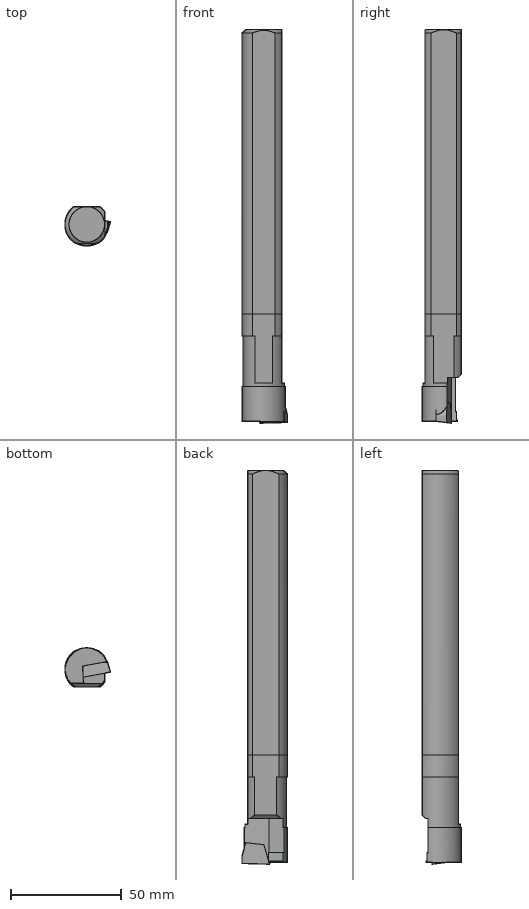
import cadquery as cq
import math


total_height = 177.9
seam_z = 49.3
neck_top_z = 39.5
flat_end_z = 18.1
collar_top_z = 16.5
head_bottom_z = 0.9

shank_radius = 10.0
neck_radius = 9.5
collar_radius = 9.8
front_flat = 8.5
side_flat = 8.2
back_flat = 8.0
top_chamfer_width = 2.0
top_chamfer_height = 1.6

relief_y = 5.3
shoulder_z = 20.6
shoulder_chamfer = 1.6
toe_height = 5.3
toe_step_z = 1.5
toe_y = 5.9
lip_y = 6.2

insert_thickness = 5.0
insert_clearance = 7.0
insert_tilt = -10.4
insert_tip_x = -1.8
insert_tip_y = 3.5
insert_reach = 12.8
edge_bottom_z = 0.4
edge_top_z = 3.5
insert_top_z = 9.8
insert_back_z = 8.9
insert_top_u = 11.0
insert_back_u = 2.7
stock = 4 * shank_radius


def cylinder(radius, bottom, top):
    return cq.Workplane("XY").workplane(offset=bottom).circle(radius).extrude(top - bottom)


def flats(bottom, top):
    """Prism that bounds a round section by its -Y, +X and +Y flats."""
    return (
        cq.Workplane("XY")
        .workplane(offset=bottom)
        .moveTo(-stock, -front_flat)
        .lineTo(side_flat, -front_flat)
        .lineTo(side_flat, back_flat)
        .lineTo(-stock, back_flat)
        .close()
        .extrude(top - bottom)
    )


def make_shank():
    profile = (
        cq.Workplane("XZ")
        .moveTo(0, seam_z)
        .lineTo(shank_radius, seam_z)
        .lineTo(shank_radius, total_height - top_chamfer_height)
        .lineTo(shank_radius - top_chamfer_width, total_height)
        .lineTo(0, total_height)
        .close()
    )
    return profile.revolve(360, (0, 0), (0, 1)).intersect(flats(seam_z, total_height))


def make_relief():
    """Volume removed from the +Y side, leaving a low toe at the bottom edge."""
    return (
        cq.Workplane("YZ")
        .moveTo(stock, 0)
        .lineTo(lip_y, 0)
        .lineTo(lip_y, toe_step_z)
        .lineTo(toe_y, toe_step_z)
        .lineTo(toe_y, toe_height)
        .lineTo(relief_y, toe_height)
        .lineTo(relief_y, shoulder_z)
        .lineTo(back_flat - shoulder_chamfer, shoulder_z)
        .lineTo(back_flat, shoulder_z + shoulder_chamfer)
        .lineTo(stock, shoulder_z + shoulder_chamfer)
        .close()
        .extrude(stock, both=True)
    )


def rake_workplane():
    """Plane of the rake face, tilted about Z, with its normal toward -Y."""
    tilt = math.radians(insert_tilt)
    rake_plane = cq.Plane(
        origin=(insert_tip_x, insert_tip_y, 0),
        xDir=(math.cos(tilt), math.sin(tilt), 0),
        normal=(math.sin(tilt), -math.cos(tilt), 0),
    )
    return cq.Workplane(rake_plane)


def make_insert():
    outline = (
        rake_workplane()
        .moveTo(0, 0)
        .lineTo(insert_reach, edge_bottom_z)
        .lineTo(insert_reach, edge_top_z)
        .lineTo(insert_top_u, insert_top_z)
        .lineTo(insert_back_u, insert_back_z)
        .close()
    )
    return outline.extrude(insert_thickness, taper=insert_clearance)


def make_chip_pocket():
    """Flute in front of the rake face, from the bottom up to the shoulder."""
    return rake_workplane().rect(stock, shoulder_z, centered=False).extrude(-stock)


def make_head(insert):
    upper = cylinder(shank_radius, neck_top_z, seam_z)
    neck = cylinder(neck_radius, flat_end_z, neck_top_z)
    shaft = upper.union(neck).intersect(flats(flat_end_z, seam_z))
    step = cylinder(neck_radius, collar_top_z, flat_end_z)
    collar = cylinder(collar_radius, head_bottom_z, collar_top_z)
    return shaft.union(step).union(collar).cut(make_relief()).cut(make_chip_pocket()).cut(insert)


shank = make_shank()
insert = make_insert()
head = make_head(insert)

result = cq.Compound.makeCompound([shank.val(), *head.vals(), insert.val()])